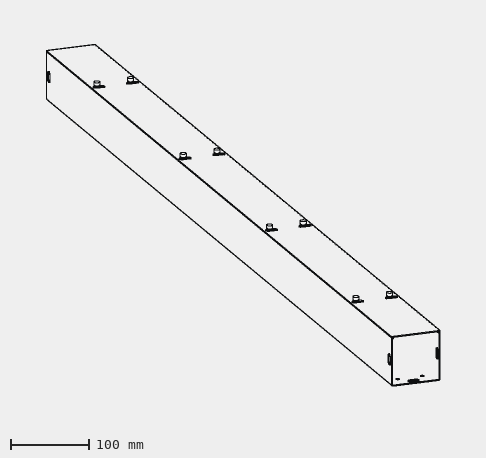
import cadquery as cq

overall_length = 1219.0
end_step = 0.6
trough_start = end_step
trough_end = overall_length
width = 67.0
sheet = 1.5
trough_height = 66.0
bend_radius = 2.7
lip_width = 17.0
lip_end_gap = 15.0
inner_width = width - 2 * sheet
lip_bottom = trough_height - sheet

cover_length = trough_end - trough_start
cover_thickness = 1.5
cover_top = trough_height + cover_thickness

total_height = 72.0
screws_per_row = 4
screw_pitch = overall_length / screws_per_row
screw_edge_distance = 10.4
head_diameter = 7.9
shank_diameter = 6.3
shank_length = 7.0
screw_points = [
    ((index + 0.5) * screw_pitch, side * (width / 2 - screw_edge_distance))
    for index in range(screws_per_row)
    for side in (-1, 1)
]

entry_length = 16.0
entry_width = 7.9
entry_offset = 6.7

slot_length = 15.0
slot_width = 7.9
slot_end_distance = 7.9
wall_slot_height = 34.0
slot_places = (trough_start + slot_end_distance, trough_end - slot_end_distance)

mount_diameter = 4.6
mount_end_distance = 21.0
mount_spacing = 34.0
mount_points = [
    (x, side * mount_spacing / 2)
    for x in (trough_start + mount_end_distance, trough_end - mount_end_distance)
    for side in (-1, 1)
]


def trough_bar(end_gap, bar_width, bottom, top):
    """Box along the trough, stopping end_gap short of each trough end and centred on Y = 0."""
    bar_length = trough_end - trough_start - 2 * end_gap
    return (
        cq.Workplane("XY", origin=(trough_start + end_gap, 0, bottom))
        .box(bar_length, bar_width, top - bottom, centered=(False, True, False))
    )


def make_channel():
    """Folded channel with two inward lips that stop short of the ends."""
    outside = trough_bar(0, width, 0, trough_height).edges("|X").fillet(bend_radius)
    cavity = trough_bar(0, inner_width, sheet, lip_bottom).edges("|X").fillet(bend_radius - sheet)
    mouth = trough_bar(0, width - 2 * lip_width, lip_bottom, trough_height)
    full_lips = trough_bar(0, inner_width, lip_bottom, trough_height)
    lip_ends = full_lips.cut(trough_bar(lip_end_gap, inner_width, lip_bottom, trough_height))
    return outside.cut(cavity).cut(mouth).cut(lip_ends)


def make_trough():
    slot_points = [(x, 0) for x in slot_places]
    wall_slots = (
        cq.Workplane("XZ", origin=(0, 0, wall_slot_height)).pushPoints(slot_points)
        .slot2D(slot_length, slot_width, 90).extrude(width, both=True)
    )
    floor_slots = (
        cq.Workplane("XY").pushPoints(slot_points)
        .slot2D(slot_length, slot_width, 90).extrude(sheet)
    )
    mount_holes = (
        cq.Workplane("XY").pushPoints(mount_points)
        .circle(mount_diameter / 2).extrude(sheet)
    )
    screw_holes = (
        cq.Workplane("XY", origin=(0, 0, lip_bottom)).pushPoints(screw_points)
        .circle(shank_diameter / 2).extrude(sheet)
    )
    return make_channel().cut(wall_slots).cut(floor_slots).cut(mount_holes).cut(screw_holes)


def make_cover():
    seat = cq.Workplane("XY", origin=(0, 0, trough_height))
    plate = seat.box(cover_length, width, cover_thickness, centered=(False, True, False))
    shank_holes = (
        seat.pushPoints(screw_points)
        .circle(shank_diameter / 2).extrude(cover_thickness)
    )
    entries = (
        seat.pushPoints([(x + entry_offset, y) for x, y in screw_points])
        .slot2D(entry_length, entry_width, 90).extrude(cover_thickness)
    )
    return plate.cut(shank_holes).cut(entries)


def make_screw(x, y):
    under_head = cq.Workplane("XY", origin=(x, y, cover_top))
    head = under_head.circle(head_diameter / 2).extrude(total_height - cover_top)
    shank = under_head.circle(shank_diameter / 2).extrude(-shank_length)
    return head.union(shank)


trough = make_trough()
cover = make_cover()
screws = [make_screw(x, y) for x, y in screw_points]

result = cq.Compound.makeCompound([trough.val(), cover.val(), *[screw.val() for screw in screws]])